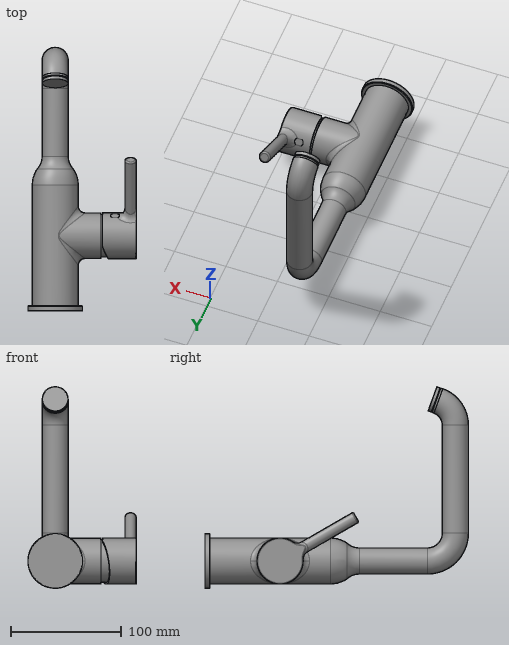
import cadquery as cq
import math

overall_width = 98.9
flange_radius = 25.0
flange_thickness = 4.8
flange_chamfer = 0.7
body_radius = 21.0
shoulder_start = 114.2
shoulder_middle = 128.8
shoulder_end = 140.3
shoulder_middle_radius = 16.5

tube_radius = 12.0
spout_reach = 227.5
lower_bend_radius = 25.4
upper_bend_start = 123.3
upper_bend_radius = 23.5
upper_bend_angle = 70.0
nozzle_length = 5.7
nozzle_radius = 11.7
nozzle_groove_offset = 2.0
nozzle_groove_width = 0.7
nozzle_groove_depth = 0.7

handle_height = 68.2
neck_radius = 20.8
neck_end = 41.5
neck_fillet = 6.0
collar_radius = 19.5
collar_overlap = 2.5
cap_start = 43.0
cap_end = overall_width - flange_radius
cap_edge_fillet = 1.0
cap_relief_slope = 0.31

lever_tilt = 30.0
lever_x = 68.5
lever_radius = 5.3
lever_length = 79.7
lever_fillet = 7.2
lever_tip_fillet = 1.5
mark_x = 54.3
mark_radius = 4.0
mark_depth = 0.2


def x_cylinder(radius, start, end):
    """Cylinder on the handle axis between two X positions."""
    plane = cq.Workplane("YZ", origin=(start, handle_height, 0))
    return plane.circle(radius).extrude(end - start)


def parallel_arc_middle(start, end, bend_at_start, radius_sign):
    """Middle of an arc that runs parallel to Y at one of its ends."""
    drop = abs(end[0] - start[0])
    rise = end[1] - start[1]
    arc_radius = (drop**2 + rise**2) / (2 * drop)
    half_angle = math.asin(rise / arc_radius) / 2
    side = arc_radius * (1 - math.cos(half_angle))
    along = arc_radius * math.sin(half_angle)
    if bend_at_start:
        return (start[0] + radius_sign * side, start[1] + along)
    return (end[0] + radius_sign * side, end[1] - along)


def make_body():
    """Cylinder with a rounded shoulder that flows into the tube radius."""
    low = (body_radius, shoulder_start)
    middle = (shoulder_middle_radius, shoulder_middle)
    high = (tube_radius, shoulder_end)
    profile = (
        cq.Workplane("XY")
        .lineTo(body_radius, 0)
        .lineTo(*low)
        .threePointArc(parallel_arc_middle(low, middle, True, -1), middle)
        .threePointArc(parallel_arc_middle(middle, high, False, 1), high)
        .lineTo(0, shoulder_end)
        .close()
    )
    return profile.revolve(360, (0, 0, 0), (0, 1, 0))


def make_flange():
    disc = cq.Workplane("XZ").circle(flange_radius).extrude(-flange_thickness)
    return disc.faces(">Y").edges().chamfer(flange_chamfer)


def make_spout():
    """Tube with two bends, ending in a grooved nozzle."""
    half_bend = math.radians(90 / 2)
    lower_center_y = spout_reach - lower_bend_radius
    upper_center_y = spout_reach - upper_bend_radius

    def upper_point(degrees):
        angle = math.radians(degrees)
        return (
            upper_center_y + upper_bend_radius * math.cos(angle),
            upper_bend_start + upper_bend_radius * math.sin(angle),
        )

    path = (
        cq.Workplane("YZ")
        .moveTo(shoulder_end, 0)
        .lineTo(lower_center_y, 0)
        .threePointArc(
            (
                lower_center_y + lower_bend_radius * math.sin(half_bend),
                lower_bend_radius * (1 - math.cos(half_bend)),
            ),
            (spout_reach, lower_bend_radius),
        )
        .lineTo(spout_reach, upper_bend_start)
        .threePointArc(upper_point(upper_bend_angle / 2), upper_point(upper_bend_angle))
    )
    tube = cq.Workplane("XZ", origin=(0, shoulder_end, 0)).circle(tube_radius).sweep(path)

    end_y, end_z = upper_point(upper_bend_angle)
    angle = math.radians(upper_bend_angle)
    outlet = cq.Plane(
        origin=(0, end_y, end_z),
        xDir=(1, 0, 0),
        normal=(0, -math.sin(angle), math.cos(angle)),
    )
    nozzle = cq.Workplane(outlet).circle(nozzle_radius).extrude(nozzle_length)
    groove = (
        cq.Workplane(outlet)
        .workplane(offset=nozzle_groove_offset)
        .circle(nozzle_radius)
        .circle(nozzle_radius - nozzle_groove_depth)
        .extrude(nozzle_groove_width)
    )
    return tube.union(nozzle.cut(groove))


def lever_plane(x):
    """Plane through the handle axis whose normal is the lever direction."""
    tilt = math.radians(lever_tilt)
    return cq.Plane(
        origin=(x, handle_height, 0),
        xDir=(1, 0, 0),
        normal=(0, math.cos(tilt), math.sin(tilt)),
    )


def make_cap():
    """Handle cap and lever, with the cap face relieved opposite the lever."""
    blank_end = cap_end + 2 * lever_fillet
    blank = x_cylinder(body_radius, cap_start, blank_end)
    lever = cq.Workplane(lever_plane(lever_x)).circle(lever_radius).extrude(lever_length)
    tip = cq.selectors.DirectionMinMaxSelector(lever_plane(0).zDir)
    lever = lever.faces(tip).edges().fillet(lever_tip_fillet)
    cap = blank.union(lever)
    root_reach = body_radius + lever_radius
    root_box = cq.selectors.BoxSelector(
        (lever_x - lever_radius, handle_height, 0),
        (lever_x + lever_radius, handle_height + root_reach, root_reach),
    )
    cap = cap.edges(root_box).fillet(lever_fillet)
    cap = cap.cut(x_cylinder(2 * body_radius, cap_end, blank_end))
    cap = cap.faces(">X").edges().fillet(cap_edge_fillet)

    wedge_reach = 2 * body_radius
    wedge = (
        cq.Workplane(lever_plane(cap_start))
        .transformed(rotate=(90, 0, 0))
        .polyline([(0, 0), (0, -wedge_reach), (cap_relief_slope * wedge_reach, -wedge_reach)])
        .close()
        .extrude(body_radius, both=True)
    )
    mark = (
        cq.Workplane(lever_plane(mark_x))
        .workplane(offset=body_radius - mark_depth)
        .circle(mark_radius)
        .extrude(lever_radius)
    )
    return cap.cut(wedge).cut(mark)


def make_body_with_neck():
    joined = make_body().union(x_cylinder(neck_radius, 0, neck_end))
    seam_box = cq.selectors.BoxSelector(
        (-neck_fillet, handle_height - body_radius, -body_radius),
        (body_radius + neck_fillet, handle_height + body_radius, body_radius),
    )
    return joined.edges(seam_box).fillet(neck_fillet)


collar_end = cap_start + cap_relief_slope * body_radius + collar_overlap
collar = x_cylinder(collar_radius, neck_end - collar_overlap, collar_end)
result = (
    make_body_with_neck()
    .union(make_flange())
    .union(make_spout())
    .union(collar)
    .union(make_cap())
)